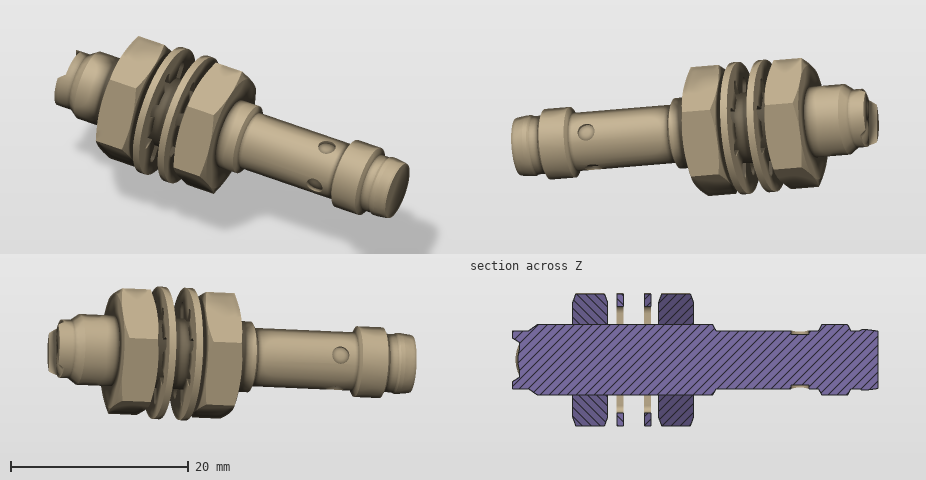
import cadquery as cq
import math

length = 41.3

barrel_radius = 8.0 / 2
shaft_radius = 6.6 / 2
nose_end = 1.8
barrel_start = 2.8
barrel_end = 22.65
collar_start = 34.95
collar_end = 37.87
rear_bevel_length = 0.37

ridge_radius = 6.9 / 2
taper_end_radius = 6.6 / 2
end_face_radius = 6.5 / 2
ridge_foot = 39.25
ridge_start = 39.5
ridge_end = 39.98
end_bevel_length = 0.2

slot_depth = 0.8
slot_floor_width = 3.9
slot_mouth_width = 4.87
lens_base_radius = 1.78
lens_height = 0.4
lens_offset = 1.3

window_diameter = 2.0
window_floor_radius = 5.8 / 2
window_x = 32.5
window_count = 4

nut_across_corners = 15.0
nut_across_flats = nut_across_corners * math.cos(math.pi / 6)
nut_thickness = 4.0
nut_bevel_length = 0.37
nut_starts = (6.77, 16.48)

washer_diameter = nut_across_corners
washer_thickness = 0.8
washer_starts = (11.75, 14.85)
notch_width = 1.5
notch_reach = 6.0
notch_count = 8


def turned(points):
    """Solid of revolution about X from (x, radius) points."""
    return cq.Workplane("XY").polyline(points).close().revolve(360, (0, 0, 0), (1, 0, 0))


def bar_along_x(start, thickness, radius):
    """Round bar on the X axis from start to start + thickness."""
    return cq.Workplane("YZ", origin=(start, 0, 0)).circle(radius).extrude(thickness)


def turned_blank():
    return turned([
        (0, 0),
        (0, shaft_radius),
        (nose_end, shaft_radius),
        (barrel_start, barrel_radius),
        (barrel_end, barrel_radius),
        (barrel_end + rear_bevel_length, shaft_radius),
        (collar_start - rear_bevel_length, shaft_radius),
        (collar_start, barrel_radius),
        (collar_end, barrel_radius),
        (collar_end + rear_bevel_length, shaft_radius),
        (ridge_foot, shaft_radius),
        (ridge_start, ridge_radius),
        (ridge_end, ridge_radius),
        (length - end_bevel_length, taper_end_radius),
        (length, end_face_radius),
        (length, 0),
    ])


def nose_slot():
    """Trapezoidal slot along Z, widest at the sensing face."""
    return (
        cq.Workplane("XY")
        .polyline([
            (0, -slot_mouth_width / 2),
            (slot_depth, -slot_floor_width / 2),
            (slot_depth, slot_floor_width / 2),
            (0, slot_mouth_width / 2),
        ])
        .close()
        .extrude(shaft_radius, both=True)
    )


def lens(z):
    """Spherical cap standing on the slot floor, with a short root of equal width below the floor."""
    ball_radius = (lens_base_radius**2 + lens_height**2) / (2 * lens_height)
    ball_x = slot_depth - lens_height + ball_radius
    ball = cq.Workplane("XY").sphere(ball_radius).translate((ball_x, 0, z))
    cap_limit = bar_along_x(slot_depth - lens_height, 2 * lens_height, lens_base_radius)
    return ball.intersect(cap_limit.translate((0, 0, z)))


def window(angle):
    """Radial hole that stops on a floor concentric with the shaft, turned to its angle about X."""
    drill = cq.Workplane("XY", origin=(window_x, 0, 0)).circle(window_diameter / 2).extrude(barrel_radius)
    floor_core = bar_along_x(window_x - window_diameter, 2 * window_diameter, window_floor_radius)
    return drill.cut(floor_core).rotate((0, 0, 0), (1, 0, 0), angle)


def make_housing():
    body = turned_blank().cut(nose_slot())
    for z in (-lens_offset, lens_offset):
        body = body.union(lens(z))
    for i in range(window_count):
        body = body.cut(window(i * 360 / window_count))
    return body


def make_nut(start):
    """Hexagon with corners on Y, bevelled on both faces down to the inscribed circle."""
    hexagon = cq.Workplane("YZ").polygon(6, nut_across_corners).extrude(nut_thickness)
    bevels = turned([
        (0, 0),
        (0, nut_across_flats / 2),
        (nut_bevel_length, nut_across_corners / 2),
        (nut_thickness - nut_bevel_length, nut_across_corners / 2),
        (nut_thickness, nut_across_flats / 2),
        (nut_thickness, 0),
    ])
    bore = bar_along_x(0, nut_thickness, barrel_radius)
    return hexagon.intersect(bevels).cut(bore).translate((start, 0, 0))


def notch(angle):
    """Radial round-ended slot reaching out from the axis, turned to its angle about X."""
    end_center = notch_reach - notch_width / 2
    slot = (
        cq.Workplane("YZ")
        .center(end_center / 2, 0)
        .slot2D(end_center + notch_width, notch_width)
        .extrude(washer_thickness)
    )
    return slot.rotate((0, 0, 0), (1, 0, 0), angle)


def make_washer(start):
    disc = bar_along_x(0, washer_thickness, washer_diameter / 2)
    washer = disc.cut(bar_along_x(0, washer_thickness, barrel_radius))
    for i in range(notch_count):
        washer = washer.cut(notch(i * 360 / notch_count))
    return washer.translate((start, 0, 0))


housing = make_housing()
nuts = [make_nut(start) for start in nut_starts]
washers = [make_washer(start) for start in washer_starts]

result = cq.Compound.makeCompound([
    housing.val(),
    *[nut.val() for nut in nuts],
    *[washer.val() for washer in washers],
])